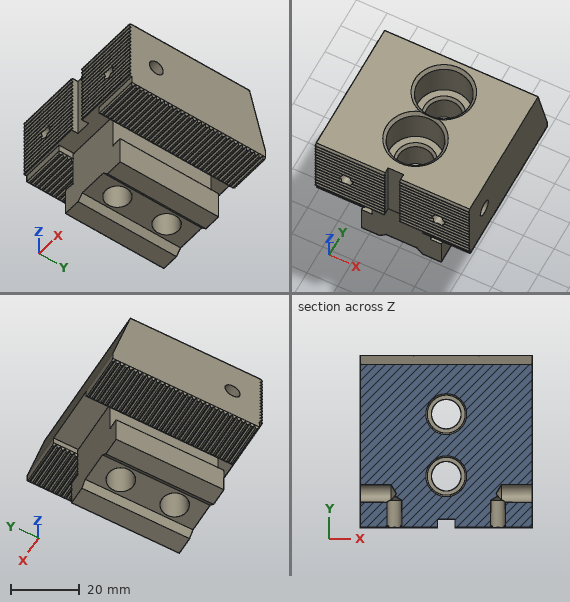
import cadquery as cq
import math

WIDTH = 50.0
FRONT_Y = -25.0
BACK_Y = 25.0
TOP_Z = 44.7

JAW_HEIGHT = 25.0
JAW_BOTTOM_Z = TOP_Z - JAW_HEIGHT
CHANNEL_WIDTH = 19.0
CHANNEL_DEPTH = 3.0
CHANNEL_TOP_Z = JAW_BOTTOM_Z + CHANNEL_DEPTH
BACK_SLOPE_ANGLE = 15.0
BACK_SLOPE_RUN = (TOP_Z - CHANNEL_TOP_Z) * math.tan(math.radians(BACK_SLOPE_ANGLE))
FOOT_SETBACK = 1.0
FOOT_Y = FRONT_Y + FOOT_SETBACK
BOTTOM_CHAMFER = 0.6

TOOTH_PITCH = 1.5
TOOTH_CREST = 0.2
TOOTH_DEPTH = (TOOTH_PITCH - TOOTH_CREST) / 2
TOOTH_COUNT = math.ceil((TOP_Z - CHANNEL_TOP_Z) / TOOTH_PITCH)
VALLEY_Y = FRONT_Y + TOOTH_DEPTH

SERRATION_PITCH = 1.5
SERRATION_DEPTH = 0.5

KEYWAY_WIDTH = 5.0
KEYWAY_DEPTH = 2.5

SCREW_SPACING = 18.0
SCREW_MIDDLE_Y = -1.0
SCREW_YS = [SCREW_MIDDLE_Y - SCREW_SPACING / 2, SCREW_MIDDLE_Y + SCREW_SPACING / 2]
HEAD_DIAMETER = 17.0
HEAD_CHAMFER = 1.0
HEAD_DEPTH = 12.0
CLEARANCE_DIAMETER = 11.0
CLEARANCE_CHAMFER = 0.85
THREAD_DIAMETER = 8.5

DRILL_Z = JAW_BOTTOM_Z + JAW_HEIGHT / 2
DRILL_TIP_ANGLE = 118.0
SIDE_HOLE_DIAMETER = 5.0
SIDE_HOLE_DEPTH = 9.0
SIDE_HOLE_Y = -15.0
FRONT_HOLE_DIAMETER = 4.2
FRONT_HOLE_DEPTH = 8.0
FRONT_HOLE_X = 15.0

NUT_LENGTH = 36.0
FLANGE_WIDTH = 26.0
FLANGE_HEIGHT = 9.8
NUT_HEIGHT = 22.0
RELIEF_WIDTH = 14.0
RELIEF_DEPTH = 2.0


def box(x_min, x_max, y_min, y_max, z_min, z_max):
    return cq.Workplane("XY").box(
        x_max - x_min, y_max - y_min, z_max - z_min, centered=False
    ).translate((x_min, y_min, z_min))


def jaw_profile():
    """Side outline (Y, Z): front teeth from the top down, then the base and the sloped back."""
    points = [(VALLEY_Y, TOP_Z)]
    for i in range(TOOTH_COUNT):
        start_z = TOP_Z - i * TOOTH_PITCH
        points += [
            (FRONT_Y, start_z - TOOTH_DEPTH),
            (FRONT_Y, start_z - TOOTH_DEPTH - TOOTH_CREST),
            (VALLEY_Y, start_z - TOOTH_PITCH),
        ]
    points += [
        (VALLEY_Y, JAW_BOTTOM_Z),
        (BACK_Y, JAW_BOTTOM_Z),
        (BACK_Y, CHANNEL_TOP_Z),
        (BACK_Y - BACK_SLOPE_RUN, TOP_Z),
    ]
    return points


def groove_cutter(y):
    """One 90-degree V groove along X in the underside, deepest at the given Y."""
    points = [
        (y - SERRATION_DEPTH, JAW_BOTTOM_Z),
        (y, JAW_BOTTOM_Z + SERRATION_DEPTH),
        (y + SERRATION_DEPTH, JAW_BOTTOM_Z),
    ]
    return cq.Workplane("YZ").polyline(points).close().extrude(WIDTH / 2, both=True)


def screw_hole_cutter(y):
    """Chamfered head counterbore with a chamfered clearance hole, as one revolved tool."""
    head_radius = HEAD_DIAMETER / 2
    clearance_radius = CLEARANCE_DIAMETER / 2
    floor_z = TOP_Z - HEAD_DEPTH
    points = [
        (0, TOP_Z),
        (head_radius + HEAD_CHAMFER, TOP_Z),
        (head_radius, TOP_Z - HEAD_CHAMFER),
        (head_radius, floor_z),
        (clearance_radius + CLEARANCE_CHAMFER, floor_z),
        (clearance_radius, floor_z - CLEARANCE_CHAMFER),
        (clearance_radius, CHANNEL_TOP_Z),
        (0, CHANNEL_TOP_Z),
    ]
    tool = cq.Workplane("XZ").polyline(points).close().revolve(360, (0, 0, 0), (0, 1, 0))
    return tool.translate((0, y, 0))


def drill_cutter(diameter, depth, entry, direction):
    """Blind hole of the given full-diameter depth, ending in a drill-point cone."""
    radius = diameter / 2
    tip_length = radius / math.tan(math.radians(DRILL_TIP_ANGLE / 2))
    start = cq.Vector(*entry)
    axis = cq.Vector(*direction)
    shank = cq.Solid.makeCylinder(radius, depth, start, axis)
    tip = cq.Solid.makeCone(radius, 0, tip_length, start + axis * depth, axis)
    return cq.Workplane(obj=shank.fuse(tip))


def make_jaw():
    half = WIDTH / 2
    jaw = cq.Workplane("YZ").polyline(jaw_profile()).close().extrude(half, both=True)

    jaw = jaw.cut(box(-half, half, FRONT_Y, FOOT_Y, JAW_BOTTOM_Z, CHANNEL_TOP_Z))

    channel_half = CHANNEL_WIDTH / 2
    jaw = jaw.cut(box(-channel_half, channel_half, FRONT_Y, BACK_Y, JAW_BOTTOM_Z, CHANNEL_TOP_Z))
    jaw = jaw.faces("<Z").edges("|Y").chamfer(BOTTOM_CHAMFER)

    groove_count = math.ceil((BACK_Y - FOOT_Y) / SERRATION_PITCH)
    for i in range(groove_count):
        jaw = jaw.cut(groove_cutter(FOOT_Y + i * SERRATION_PITCH))

    keyway_half = KEYWAY_WIDTH / 2
    jaw = jaw.cut(
        box(-keyway_half, keyway_half, FRONT_Y, FRONT_Y + KEYWAY_DEPTH, CHANNEL_TOP_Z, TOP_Z)
    )

    for y in SCREW_YS:
        jaw = jaw.cut(screw_hole_cutter(y))

    for side in (-1, 1):
        side_entry = (side * half, SIDE_HOLE_Y, DRILL_Z)
        front_entry = (side * FRONT_HOLE_X, FRONT_Y, DRILL_Z)
        jaw = jaw.cut(drill_cutter(SIDE_HOLE_DIAMETER, SIDE_HOLE_DEPTH, side_entry, (-side, 0, 0)))
        jaw = jaw.cut(drill_cutter(FRONT_HOLE_DIAMETER, FRONT_HOLE_DEPTH, front_entry, (0, 1, 0)))
    return jaw


def make_t_nut():
    flange_half = FLANGE_WIDTH / 2
    stem_half = CHANNEL_WIDTH / 2
    relief_half = RELIEF_WIDTH / 2
    right_side = [
        (relief_half - RELIEF_DEPTH, RELIEF_DEPTH),
        (relief_half, 0),
        (flange_half, 0),
        (flange_half, FLANGE_HEIGHT),
        (stem_half, FLANGE_HEIGHT),
        (stem_half, NUT_HEIGHT),
    ]
    left_side = [(-x, z) for x, z in reversed(right_side)]
    nut = cq.Workplane("XZ").polyline(right_side + left_side).close().extrude(NUT_LENGTH / 2, both=True)
    nut = nut.translate((0, SCREW_MIDDLE_Y, 0))
    for y in SCREW_YS:
        nut = nut.cut(cq.Workplane("XY").center(0, y).circle(THREAD_DIAMETER / 2).extrude(NUT_HEIGHT))
    return nut


jaw = make_jaw()
t_nut = make_t_nut()

result = cq.Compound.makeCompound([jaw.val(), t_nut.val()])